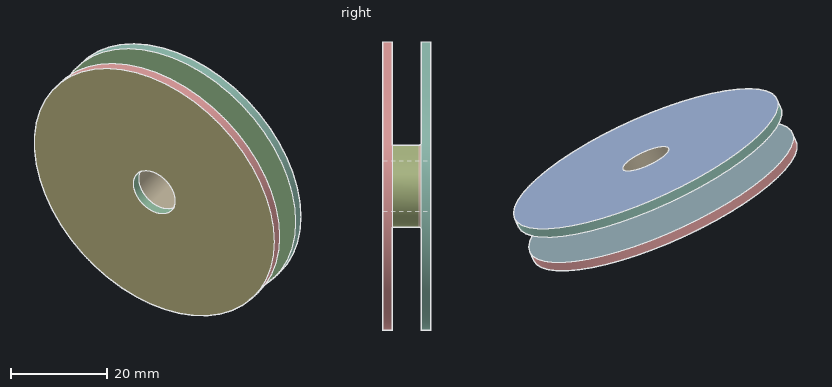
import cadquery as cq

flange_diameter = 60.0
overall_width = 10.0
hub_diameter = 17.1
hub_length = 6.0
bore_diameter = 10.45
hub_fillet_radius = 0.5

flange_thickness = (overall_width - hub_length) / 2
front_face_y = -overall_width / 2
hub_start_y = -hub_length / 2
hub_end_y = hub_length / 2


def bored_cylinder(diameter, start_y, length):
    """Cylinder along +Y from start_y, with the through bore on its axis."""
    return (
        cq.Workplane("XZ", origin=(0, start_y, 0))
        .circle(diameter / 2)
        .circle(bore_diameter / 2)
        .extrude(-length)
    )


def make_flange_disc():
    """Plain bored disc that butts against the free end of the hub."""
    return bored_cylinder(flange_diameter, front_face_y, flange_thickness)


def make_flanged_hub():
    """Back flange and hub in one piece, with a fillet in the corner between them."""
    flange = bored_cylinder(flange_diameter, hub_end_y, flange_thickness)
    hub = bored_cylinder(hub_diameter, hub_start_y, hub_length)
    flange_inner_face = flange.union(hub).faces("<Y[1]")
    hub_root_edge = cq.selectors.RadiusNthSelector(0)
    return flange_inner_face.edges(hub_root_edge).fillet(hub_fillet_radius)


flange_disc = make_flange_disc()
flanged_hub = make_flanged_hub()

result = cq.Compound.makeCompound([flange_disc.val(), flanged_hub.solids().val()])